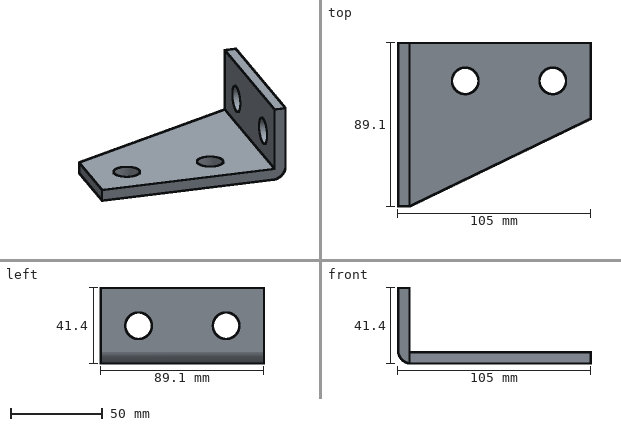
import cadquery as cq

length = 104.99
width = 89.09
height = 41.35

thickness = 6.35
bend_radius = 7.6

end_width = height

holes_per_plate = 2
hole_diameter = 14.35
hole_pitch = 47.7
edge_margin = height / 2


def make_base_plate():
    """Horizontal plate with a sloped front edge that starts at the bend."""
    return (
        cq.Workplane("XY")
        .moveTo(0, 0)
        .lineTo(thickness, 0)
        .lineTo(length, width - end_width)
        .lineTo(length, width)
        .lineTo(0, width)
        .close()
        .extrude(thickness)
    )


def make_flange():
    """Upright rectangular plate along the bend."""
    return cq.Workplane("XY").box(thickness, width, height, centered=False)


def round_bend(bracket):
    """Round the outside corner with an arc ending level with the inner faces of both plates."""
    corner_waste = (
        cq.Workplane("XZ")
        .moveTo(0, 0)
        .lineTo(thickness, 0)
        .radiusArc((0, thickness), bend_radius)
        .close()
        .extrude(-width)
    )
    return bracket.cut(corner_waste)


def cut_base_holes(bracket):
    """Holes through the base plate, in a row along X."""
    outer_x = length - edge_margin
    centers = [(outer_x - i * hole_pitch, width - edge_margin) for i in range(holes_per_plate)]
    cutter = cq.Workplane("XY").pushPoints(centers).circle(hole_diameter / 2).extrude(thickness)
    return bracket.cut(cutter)


def cut_flange_holes(bracket):
    """Holes through the upright flange, in a row along Y."""
    outer_y = width - edge_margin
    centers = [(outer_y - i * hole_pitch, height - edge_margin) for i in range(holes_per_plate)]
    cutter = cq.Workplane("YZ").pushPoints(centers).circle(hole_diameter / 2).extrude(thickness)
    return bracket.cut(cutter)


bracket = make_base_plate().union(make_flange())
bracket = round_bend(bracket)
bracket = cut_base_holes(bracket)
result = cut_flange_holes(bracket)